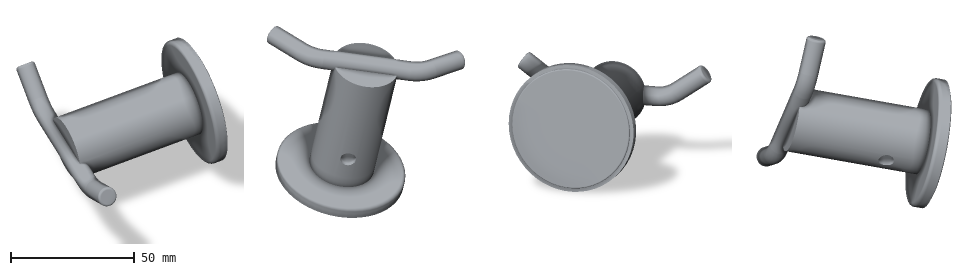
import cadquery as cq
import math


overall_width = 81.6
overall_depth = 64.7

backing_diameter = 49.9
backing_thickness = 0.8
backing_edge_radius = 0.5

rosette_diameter = 53.0
rosette_thickness = 4.9
rosette_edge_radius = 1.5

post_diameter = 26.7
screw_hole_diameter = 6.4
screw_hole_offset = 15.0

rod_diameter = 8.0
rod_tip_radius = 1.0
rod_middle_length = 36.05
rod_bend_radius = 15.0
rod_bend_angle = math.radians(35)

rosette_back_y = -backing_thickness
rosette_front_y = rosette_back_y - rosette_thickness
rod_radius = rod_diameter / 2
rod_axis_y = rod_radius - overall_depth
screw_hole_y = rosette_front_y - screw_hole_offset


def disc(diameter, back_y, front_y):
    """Solid cylinder about the Y axis, from back_y forward to front_y."""
    return (
        cq.Workplane("XZ", origin=(0, back_y, 0))
        .circle(diameter / 2)
        .extrude(back_y - front_y)
    )


def make_backing_plate():
    """Thin wall disc, rounded along its wall-side rim."""
    plate = disc(backing_diameter, 0, rosette_back_y)
    return plate.faces(">Y").edges().fillet(backing_edge_radius)


def make_rosette():
    """Round cover plate, rounded along its front rim."""
    plate = disc(rosette_diameter, rosette_back_y, rosette_front_y)
    return plate.faces("<Y").edges().fillet(rosette_edge_radius)


def make_hook_rod():
    """Round rod along X whose two ends bend upward and finish in rounded tips."""
    sin_bend = math.sin(rod_bend_angle)
    cos_bend = math.cos(rod_bend_angle)
    sin_half = math.sin(rod_bend_angle / 2)
    cos_half = math.cos(rod_bend_angle / 2)

    bend_start_x = rod_middle_length / 2
    bend_middle = (bend_start_x + rod_bend_radius * sin_half, rod_bend_radius * (1 - cos_half))
    bend_end = (bend_start_x + rod_bend_radius * sin_bend, rod_bend_radius * (1 - cos_bend))

    tip_reach = (rod_radius - rod_tip_radius) * sin_bend + rod_tip_radius
    arm_length = (overall_width / 2 - tip_reach - bend_end[0]) / cos_bend + rod_tip_radius
    arm_end = (bend_end[0] + arm_length * cos_bend, bend_end[1] + arm_length * sin_bend)

    def mirrored(point):
        return (-point[0], point[1])

    axis = (
        cq.Workplane("XZ", origin=(0, rod_axis_y, 0))
        .moveTo(*mirrored(arm_end))
        .lineTo(*mirrored(bend_end))
        .threePointArc(mirrored(bend_middle), (-bend_start_x, 0))
        .lineTo(bend_start_x, 0)
        .threePointArc(bend_middle, bend_end)
        .lineTo(*arm_end)
    )
    start_plane = cq.Plane(
        origin=(-arm_end[0], rod_axis_y, arm_end[1]),
        xDir=(0, 1, 0),
        normal=(cos_bend, 0, -sin_bend),
    )
    rod = cq.Workplane(start_plane).circle(rod_radius).sweep(axis)

    left_tip = rod.faces(cq.selectors.DirectionMinMaxSelector(cq.Vector(-cos_bend, 0, sin_bend)))
    right_tip = rod.faces(cq.selectors.DirectionMinMaxSelector(cq.Vector(cos_bend, 0, sin_bend)))
    return left_tip.add(right_tip).edges().fillet(rod_tip_radius)


def make_post(hook_rod):
    """Cylindrical post with a screw hole from below to its axis and a half-round seat for the rod."""
    post = disc(post_diameter, rosette_front_y, rod_axis_y)
    screw_hole = (
        cq.Workplane("XY", origin=(0, screw_hole_y, 0))
        .circle(screw_hole_diameter / 2)
        .extrude(-post_diameter)
    )
    return post.cut(screw_hole).cut(hook_rod)


backing_plate = make_backing_plate()
rosette = make_rosette()
hook_rod = make_hook_rod()
post = make_post(hook_rod)

result = cq.Compound.makeCompound(
    [backing_plate.val(), rosette.val(), post.val(), hook_rod.val()]
)